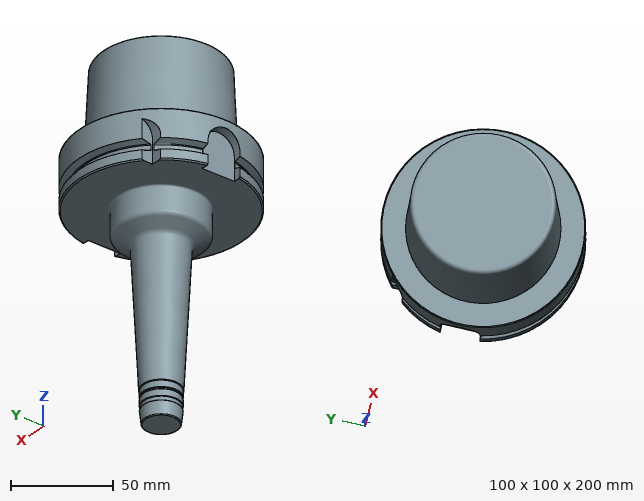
import cadquery as cq

total_height = 200.0
shank_length = 50.0
flange_width = 29.0
flange_top = total_height - shank_length
flange_bottom = flange_top - flange_width

shank_base_radius = 37.9
shank_top_radius = 35.5
shank_fillet = 2.0

flange_radius = 50.0
flange_top_chamfer = 0.5
flange_bottom_chamfer = 0.7
groove_radius = 46.0
groove_center = 130.0
groove_floor_width = 3.5
groove_mouth_width = 6.4
groove_fillet = 0.5

collar_radius = 25.0
collar_bottom = 105.5
collar_fillet = 2.5
collar_top_fillet = 1.0
cone_bottom = 100.2

neck_top_radius = 15.25
neck_bottom_radius = 11.1
neck_fillet = 3.0
neck_bottom = 19.0
neck_end_bevel_height = 0.4

nose_radius = 10.75
tip_radius = 9.9
tip_chamfer = 0.5
upper_ring_top = 15.4
upper_ring_bottom = 14.1
lower_ring_top = 10.4
lower_ring_bottom = 7.7
ring_depth = 0.3
ring_slope = 0.3

slot_radius = 10.0
slot_top = flange_top - 5.0
drive_slot_floor = 44.5
side_slot_floor = 32.5
side_slot_center_y = 41.5


def make_body():
    """Revolve everything but the slots about Z."""
    groove_mouth_top = groove_center + groove_mouth_width / 2
    groove_mouth_bottom = groove_center - groove_mouth_width / 2
    groove_floor_top = groove_center + groove_floor_width / 2
    groove_floor_bottom = groove_center - groove_floor_width / 2
    ring_radius = nose_radius - ring_depth
    profile = [
        (0, 0),
        (tip_radius - tip_chamfer, 0),
        (tip_radius, tip_chamfer),
        (nose_radius, lower_ring_bottom),
        (ring_radius, lower_ring_bottom + ring_slope),
        (ring_radius, lower_ring_top - ring_slope),
        (nose_radius, lower_ring_top),
        (nose_radius, upper_ring_bottom),
        (ring_radius, upper_ring_bottom + ring_slope),
        (ring_radius, upper_ring_top - ring_slope),
        (nose_radius, upper_ring_top),
        (nose_radius, neck_bottom),
        (neck_bottom_radius, neck_bottom + neck_end_bevel_height),
        (neck_top_radius, cone_bottom),
        (collar_radius, collar_bottom),
        (collar_radius, flange_bottom),
        (flange_radius - flange_bottom_chamfer, flange_bottom),
        (flange_radius, flange_bottom + flange_bottom_chamfer),
        (flange_radius, groove_mouth_bottom),
        (groove_radius, groove_floor_bottom),
        (groove_radius, groove_floor_top),
        (flange_radius, groove_mouth_top),
        (flange_radius, flange_top - flange_top_chamfer),
        (flange_radius - flange_top_chamfer, flange_top),
        (shank_base_radius, flange_top),
        (shank_top_radius, total_height),
        (0, total_height),
    ]
    body = cq.Workplane("XZ").polyline(profile).close().revolve(360, (0, 0, 0), (0, 1, 0))
    body = round_edges(body, total_height, shank_top_radius, shank_fillet)
    body = round_edges(body, collar_bottom, collar_radius, collar_fillet)
    body = round_edges(body, cone_bottom, neck_top_radius, neck_fillet)
    body = round_edges(body, flange_bottom, collar_radius, collar_top_fillet)
    body = round_edges(body, groove_floor_top, groove_radius, groove_fillet)
    return round_edges(body, groove_floor_bottom, groove_radius, groove_fillet)


def round_edges(body, height, edge_radius, fillet_radius):
    """Fillet the circular edges at the given height, up to the given radius."""
    tolerance = 0.1
    reach = edge_radius + tolerance
    edge_zone = cq.selectors.BoxSelector(
        (-reach, -reach, height - tolerance),
        (reach, reach, height + tolerance),
        boundingbox=True,
    )
    return body.edges(edge_zone).fillet(fillet_radius)


def make_slot(floor, center_y):
    """Cutter on the -X side: open at the bottom, round at the top, with a flat floor."""
    arch_z = slot_top - slot_radius
    return (
        cq.Workplane("YZ", origin=(-floor, 0, 0))
        .moveTo(center_y - slot_radius, flange_bottom)
        .lineTo(center_y - slot_radius, arch_z)
        .threePointArc((center_y, slot_top), (center_y + slot_radius, arch_z))
        .lineTo(center_y + slot_radius, flange_bottom)
        .close()
        .extrude(-flange_radius)
    )


drive_slot = make_slot(drive_slot_floor, 0)
result = make_body().cut(drive_slot).cut(drive_slot.mirror("YZ"))
result = result.cut(make_slot(side_slot_floor, side_slot_center_y))